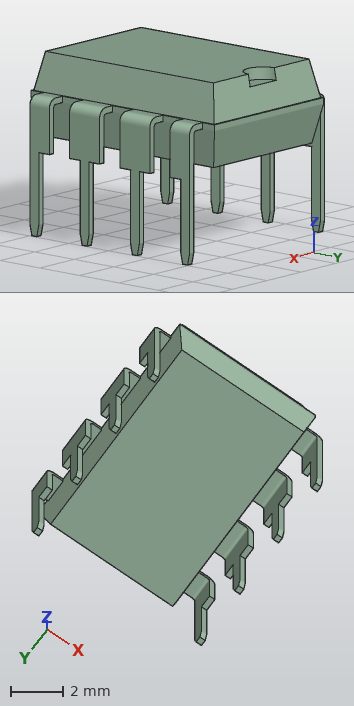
import cadquery as cq

body_length = 9.27
body_width = 6.35
half_height = 1.52
band_ledge = 0.07
side_inset = 0.315

total_height = 6.98
leads_span = 7.87
lead_thickness = 0.25
bend_radius = 0.38
leads_per_side = 4
lead_pitch = 2.54
shoulder_width = 1.52
shoulder_bottom = 3.3
pin_width = 0.45
tip_width = 0.25
tip_height = 0.46

notch_radius = 0.76
notch_depth = 0.48
notch_center_y = 4.34

band_top = total_height - half_height
band_bottom = band_top - lead_thickness


def tapered_block(base_level, end_level, base_width, base_length, inset):
    """Rectangular frustum between two levels, drawn in by inset on every side."""
    return (
        cq.Workplane("XY", origin=(0, 0, base_level))
        .rect(base_width, base_length)
        .workplane(offset=end_level - base_level)
        .rect(base_width - 2 * inset, base_length - 2 * inset)
        .loft(ruled=True)
    )


def make_body():
    band = (
        cq.Workplane("XY", origin=(0, 0, band_bottom))
        .rect(body_width, body_length)
        .extrude(lead_thickness)
    )
    upper = tapered_block(
        band_top, total_height, body_width - 2 * band_ledge, body_length - 2 * band_ledge, side_inset
    )
    lower = tapered_block(band_bottom, band_bottom - half_height, body_width, body_length, side_inset)
    notch = (
        cq.Workplane("XY", origin=(0, notch_center_y, total_height - notch_depth))
        .circle(notch_radius)
        .extrude(notch_depth)
    )
    return band.union(lower).union(upper.cut(notch))


def make_bent_strip():
    """Bent strip of the right-hand leads, running the full body length."""
    outer_x = leads_span / 2
    inner_x = outer_x - lead_thickness
    root_x = body_width / 2 - lead_thickness
    inner_radius = bend_radius - lead_thickness
    bend_level = band_top - bend_radius
    return (
        cq.Workplane("XZ")
        .moveTo(root_x, band_top)
        .lineTo(outer_x - bend_radius, band_top)
        .radiusArc((outer_x, bend_level), bend_radius)
        .lineTo(outer_x, 0)
        .lineTo(inner_x, 0)
        .lineTo(inner_x, bend_level)
        .radiusArc((inner_x - inner_radius, band_bottom), -inner_radius)
        .lineTo(root_x, band_bottom)
        .close()
        .extrude(body_length / 2, both=True)
    )


def lead_outline(center_y, shoulder_low, shoulder_high):
    """Flat lead shape, cut through across X; shoulder ends are offsets from the pin centre."""
    half_pin = pin_width / 2
    half_tip = tip_width / 2
    outline = [
        (shoulder_low, band_top),
        (shoulder_low, shoulder_bottom),
        (-half_pin, shoulder_bottom),
        (-half_pin, tip_height),
        (-half_tip, 0),
        (half_tip, 0),
        (half_pin, tip_height),
        (half_pin, shoulder_bottom),
        (shoulder_high, shoulder_bottom),
        (shoulder_high, band_top),
    ]
    points = [point for i, point in enumerate(outline) if point != outline[i - 1]]
    return (
        cq.Workplane("YZ", origin=(0, center_y, 0))
        .polyline(points)
        .close()
        .extrude(leads_span / 2)
    )


def make_leads():
    """Right-hand row; the end leads have a shoulder on their inner side only."""
    cutter = cq.Workplane("XY")
    last = leads_per_side - 1
    for i in range(leads_per_side):
        center_y = (i - last / 2) * lead_pitch
        low = -pin_width / 2 if i == 0 else -shoulder_width / 2
        high = pin_width / 2 if i == last else shoulder_width / 2
        cutter = cutter.add(lead_outline(center_y, low, high))
    return make_bent_strip().intersect(cutter.combine())


right_leads = make_leads()
left_leads = right_leads.mirror("YZ")
result = make_body().union(right_leads).union(left_leads)